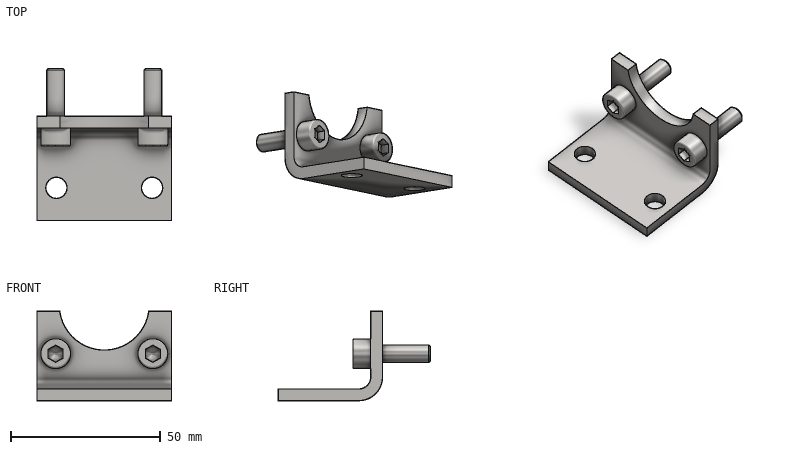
import cadquery as cq
import math

width = 45.0
depth = 35.0
height = 30.0
thickness = 4.0
inner_bend_radius = 4.0
outer_bend_radius = inner_bend_radius + thickness

saddle_radius = 15.0
saddle_center_z = height + 2.0

mount_hole_diameter = 7.0
mount_hole_spacing = 32.0
mount_hole_from_front = 11.0

screw_spacing = 32.5
screw_z = 15.75
shank_diameter = 6.0
shank_length = 20.0
shank_chamfer = 0.613
head_diameter = 10.0
head_height = 6.0
head_fillet = 0.6
socket_across_flats = 5.0
socket_across_corners = socket_across_flats / math.cos(math.pi / 6)
socket_depth = 3.0
socket_tip_angle = 120.0
socket_tip_depth = socket_across_corners / 2 / math.tan(math.radians(socket_tip_angle / 2))

seat_y = -thickness


def make_bracket():
    """L-shaped bent plate with the saddle cut and two mounting holes."""
    plate = (
        cq.Workplane("YZ")
        .moveTo(0, height)
        .lineTo(-thickness, height)
        .lineTo(-thickness, outer_bend_radius)
        .radiusArc((-outer_bend_radius, thickness), inner_bend_radius)
        .lineTo(-depth, thickness)
        .lineTo(-depth, 0)
        .lineTo(-outer_bend_radius, 0)
        .radiusArc((0, outer_bend_radius), -outer_bend_radius)
        .close()
        .extrude(width / 2, both=True)
    )
    saddle = (
        cq.Workplane("XZ")
        .center(0, saddle_center_z)
        .circle(saddle_radius)
        .extrude(thickness)
    )
    mount_holes = (
        cq.Workplane("XY")
        .center(0, mount_hole_from_front - depth)
        .rarray(mount_hole_spacing, 1, 2, 1)
        .circle(mount_hole_diameter / 2)
        .extrude(thickness)
    )
    return plate.cut(saddle).cut(mount_holes)


def make_screw():
    """Cap screw along Z: head above Z = 0, shank below it."""
    head = (
        cq.Workplane("XY")
        .circle(head_diameter / 2)
        .extrude(head_height)
        .faces(">Z")
        .edges()
        .fillet(head_fillet)
    )
    shank = (
        cq.Workplane("XY")
        .circle(shank_diameter / 2)
        .extrude(-shank_length)
        .faces("<Z")
        .edges()
        .chamfer(shank_chamfer)
    )
    return head.union(shank).cut(make_socket())


def make_socket():
    """Hexagonal socket whose floor is a drill cone reaching out to the hexagon corners."""
    hexagon = (
        cq.Workplane("XY", origin=(0, 0, head_height))
        .transformed(rotate=(0, 0, 90))
        .polygon(6, socket_across_corners)
        .extrude(-(socket_depth + socket_tip_depth))
    )
    floor_rim_z = head_height - socket_depth
    drilled_shape = (
        cq.Workplane("XZ")
        .moveTo(0, head_height)
        .lineTo(socket_across_corners / 2, head_height)
        .lineTo(socket_across_corners / 2, floor_rim_z)
        .lineTo(0, floor_rim_z - socket_tip_depth)
        .close()
        .revolve(360, (0, 0, 0), (0, 1, 0))
    )
    return hexagon.intersect(drilled_shape)


result = make_bracket()

front_facing_screw = make_screw().rotate((0, 0, 0), (1, 0, 0), 90)
for side in (-1, 1):
    screw_x = side * screw_spacing / 2
    result = result.union(front_facing_screw.translate((screw_x, seat_y, screw_z)))